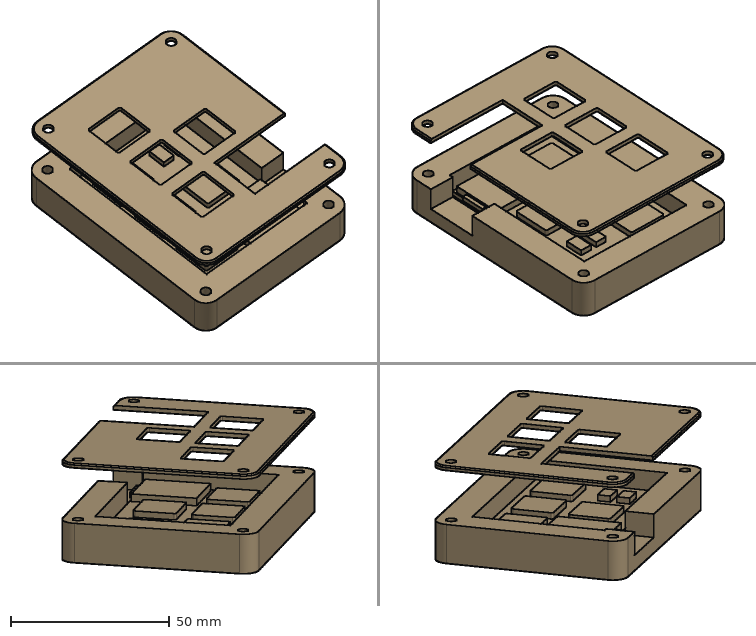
import cadquery as cq
case_length = 82.3
case_width = 63.9
case_height = 13.0
corner_radius = 5.05

screw_hole_diameter = 3.4
screw_spacing_x = case_length - 2 * corner_radius
screw_spacing_y = case_width - 2 * corner_radius

lid_thickness = 1.5
lid_gap = 18.0
lid_shift_x = 0.3
lid_chamfer = 0.5
lid_bottom = case_height + lid_gap

board_length = 61.4
board_width = 42.9
board_thickness = 1.6
board_center_x = -0.3
board_center_y = 0.4
board_clearance = 0.6
board_bottom = 5.1
board_top = board_bottom + board_thickness

switch_size = 14.05
switch_corner_radius = 0.7
switch_height = 2.1
switch_pitch = 19.1
middle_switch_x = -0.25
front_row_y = -9.8
switch_grid = [(-1, 0), (0, 0), (1, 0), (0, 1)]

window_size = 14.05
window_corner_radius = 0.6
window_offset_x = -0.5
window_offset_y = -1.3

module_center_x = 19.8
module_length = 18.1
module_width = 21.3
module_back_y = 21.3
module_height = 2.5
usb_length = 9.1
usb_overhang = 1.6
usb_height = 1.65

notch_length = 19.25
notch_floor = 5.2
slot_length = 18.5
slot_center_x = 20.3
slot_front_y = 0.9

component_length = 6.6
component_width = 4.3
component_height = 2.0
component_left_x = -22.4
component_front_ys = [4.55, 11.0]


def block(length, width, height, center_x, center_y, bottom):
    """A plain box placed by the centre of its footprint and its underside."""
    return (
        cq.Workplane("XY")
        .box(length, width, height, centered=(True, True, False))
        .translate((center_x, center_y, bottom))
    )


def rounded_block(length, width, height, radius, center_x, center_y, bottom):
    """A box with rounded vertical edges."""
    return block(length, width, height, center_x, center_y, bottom).edges("|Z").fillet(radius)


def screw_holes(center_x, bottom, depth):
    return (
        cq.Workplane("XY")
        .rarray(screw_spacing_x, screw_spacing_y, 2, 2)
        .circle(screw_hole_diameter / 2)
        .extrude(depth)
        .translate((center_x, 0, bottom))
    )


def switch_center(column, row):
    return middle_switch_x + column * switch_pitch, front_row_y + row * switch_pitch


def opening_to_back(length, center_x, front_y, height, bottom):
    """A cutter that runs from front_y out through the back side."""
    width = case_width / 2 - front_y
    return block(length, width, height, center_x, front_y + width / 2, bottom)


def make_case():
    body = rounded_block(case_length, case_width, case_height, corner_radius, 0, 0, 0)
    pocket = block(
        board_length + 2 * board_clearance,
        board_width + 2 * board_clearance,
        case_height - board_bottom,
        board_center_x,
        board_center_y,
        board_bottom,
    )
    notch = opening_to_back(
        notch_length, module_center_x, board_center_y, case_height - notch_floor, notch_floor
    )
    return body.cut(pocket).cut(notch).cut(screw_holes(0, 0, case_height))


def make_lid():
    plate = rounded_block(
        case_length, case_width, lid_thickness, corner_radius, lid_shift_x, 0, lid_bottom
    )
    plate = plate.faces(">Z").edges().chamfer(lid_chamfer)
    for column, row in switch_grid:
        x, y = switch_center(column, row)
        window = rounded_block(
            window_size,
            window_size,
            lid_thickness,
            window_corner_radius,
            x + window_offset_x,
            y + window_offset_y,
            lid_bottom,
        )
        plate = plate.cut(window)
    slot = opening_to_back(slot_length, slot_center_x, slot_front_y, lid_thickness, lid_bottom)
    return plate.cut(slot).cut(screw_holes(lid_shift_x, lid_bottom, lid_thickness))


def make_board():
    board = block(
        board_length, board_width, board_thickness, board_center_x, board_center_y, board_bottom
    )
    for front_y in component_front_ys:
        component = block(
            component_length,
            component_width,
            component_height,
            component_left_x + component_length / 2,
            front_y + component_width / 2,
            board_top,
        )
        board = board.union(component)
    return board


def make_switch(column, row):
    x, y = switch_center(column, row)
    return rounded_block(
        switch_size, switch_size, switch_height, switch_corner_radius, x, y, board_top
    )


def make_module():
    body = block(
        module_length,
        module_width,
        module_height,
        module_center_x,
        module_back_y - module_width / 2,
        board_top,
    )
    usb_socket = block(
        usb_length,
        2 * usb_overhang,
        usb_height,
        module_center_x,
        module_back_y,
        board_top,
    )
    return body.union(usb_socket)


case = make_case()
lid = make_lid()
board = make_board()
switches = [make_switch(column, row) for column, row in switch_grid]
module = make_module()

result = cq.Compound.makeCompound(
    [case.val(), lid.val(), board.val(), *[switch.val() for switch in switches], module.val()]
)